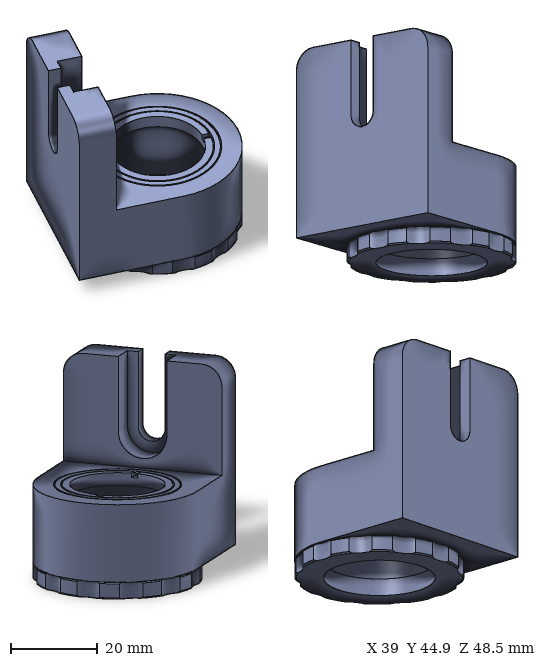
import cadquery as cq
import math

total_height = 48.45
total_depth = 44.9
housing_width = 39.0
knob_height = 4.0
collar_height = 18.45
plate_thickness = 9.0
plate_corner_radius = 5.0

slot_width = 6.6
slot_depth = 21.0
head_recess_width = 11.95
head_recess_depth = 5.95

sleeve_radius = 14.5
sleeve_bore_radius = 12.85
rim_chamfer = 0.3
ring_bore_radius = 11.0
ring_height = 3.0
spanner_slot_width = 1.5
spanner_slot_depth = 1.0

knob_radius = 19.5
knob_edge_chamfer = 0.35
scallop_count = 12
scallop_radius = 6.0
scallop_half_angle = 8.1

collar_radius = housing_width / 2
front_y = collar_radius - total_depth
plate_back_y = front_y + plate_thickness
collar_top = knob_height + collar_height
slot_center_z = total_height - slot_depth + slot_width / 2


def vertical_slot(width, start_y, depth):
    """Round-bottomed slot cutter, open at the plate top and running in +Y from start_y."""
    half_width = width / 2
    return (
        cq.Workplane("XZ", origin=(0, start_y, 0))
        .moveTo(-half_width, total_height)
        .lineTo(-half_width, slot_center_z)
        .threePointArc((0, slot_center_z - half_width), (half_width, slot_center_z))
        .lineTo(half_width, total_height)
        .close()
        .extrude(-depth)
    )


def make_housing():
    """Round-backed collar with an upright slotted plate across its front."""
    collar = (
        cq.Workplane("XY", origin=(0, 0, knob_height))
        .moveTo(-collar_radius, front_y)
        .lineTo(collar_radius, front_y)
        .lineTo(collar_radius, 0)
        .threePointArc((0, collar_radius), (-collar_radius, 0))
        .close()
        .extrude(collar_height)
    )
    plate = (
        cq.Workplane("XY", origin=(0, front_y, knob_height))
        .box(housing_width, plate_thickness, total_height - knob_height, centered=(True, False, False))
        .edges("|Y and >Z")
        .fillet(plate_corner_radius)
    )
    bore = (
        cq.Workplane("XY", origin=(0, 0, knob_height))
        .circle(sleeve_radius)
        .extrude(collar_height)
    )
    rim_cone = cq.Workplane(
        cq.Solid.makeCone(
            sleeve_radius,
            sleeve_radius + rim_chamfer,
            rim_chamfer,
            pnt=cq.Vector(0, 0, collar_top - rim_chamfer),
        )
    )
    bolt_slot = vertical_slot(slot_width, front_y, plate_thickness)
    head_recess = vertical_slot(head_recess_width, plate_back_y - head_recess_depth, head_recess_depth)
    return collar.union(plate).cut(bore).cut(rim_cone).cut(bolt_slot).cut(head_recess)


def make_sleeve():
    """Plain tube lining the housing, chamfered at the top of its bore."""
    return (
        cq.Workplane("XY", origin=(0, 0, knob_height))
        .circle(sleeve_radius)
        .circle(sleeve_bore_radius)
        .extrude(collar_height)
        .edges(cq.selectors.RadiusNthSelector(0))
        .edges(">Z")
        .chamfer(rim_chamfer)
    )


def make_retaining_ring():
    """Ring at the top of the sleeve, with two spanner slots across its top face."""
    ring = (
        cq.Workplane("XY", origin=(0, 0, collar_top - ring_height))
        .circle(sleeve_bore_radius)
        .circle(ring_bore_radius)
        .extrude(ring_height)
    )
    spanner_slots = cq.Workplane("XY", origin=(0, 0, collar_top - spanner_slot_depth)).box(
        spanner_slot_width, 2 * sleeve_bore_radius, spanner_slot_depth, centered=(True, True, False)
    )
    return ring.cut(spanner_slots)


def make_knob():
    """Chamfered disc with concave finger scallops around its rim."""
    edge_angle = math.radians(scallop_half_angle)
    half_chord = knob_radius * math.sin(edge_angle)
    scallop_offset = knob_radius * math.cos(edge_angle) + math.sqrt(scallop_radius**2 - half_chord**2)
    disc = cq.Workplane("XY").circle(knob_radius).extrude(knob_height).edges().chamfer(knob_edge_chamfer)
    scallops = (
        cq.Workplane("XY")
        .polarArray(scallop_offset, 0, 360, scallop_count)
        .circle(scallop_radius)
        .extrude(knob_height)
    )
    bore = cq.Workplane("XY").circle(sleeve_bore_radius).extrude(knob_height)
    return disc.cut(scallops).cut(bore)


housing = make_housing()
sleeve = make_sleeve()
retaining_ring = make_retaining_ring()
knob = make_knob()

result = cq.Compound.makeCompound([housing.val(), sleeve.val(), retaining_ring.val(), knob.val()])